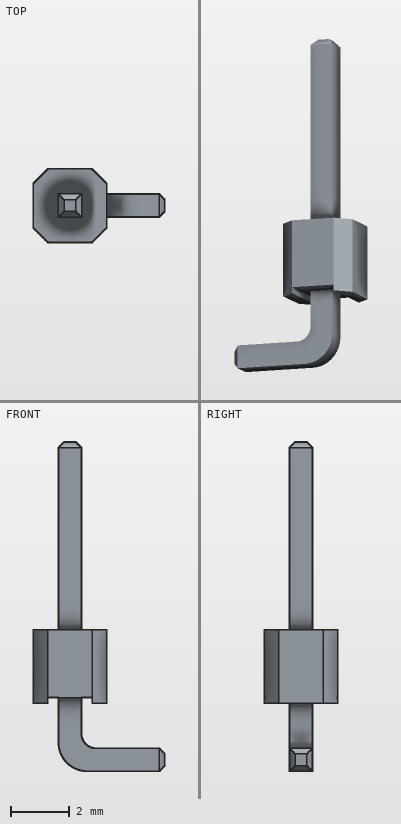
import cadquery as cq

pitch = 2.54
corner_chamfer = 0.51
standoff = 0.2

pin_width = 0.8
pin_height = 11.34
pin_above_housing = 6.46
leg_overhang = 2.0
outer_bend_radius = 1.0
inner_bend_radius = 0.5
tip_chamfer = 0.2

half_pitch = pitch / 2
half_pin = pin_width / 2
groove_width = pitch - 2 * corner_chamfer
pin_top = pitch + pin_above_housing
pin_bottom = pin_top - pin_height
leg_end = half_pitch + leg_overhang


def make_housing():
    """Octagonal block with a groove along Y underneath and a square hole for the pin."""
    block = (
        cq.Workplane("XY")
        .rect(pitch, pitch)
        .extrude(pitch)
        .edges("|Z")
        .chamfer(corner_chamfer)
    )
    groove = cq.Workplane("XY").rect(groove_width, pitch).extrude(standoff)
    pin_hole = cq.Workplane("XY").rect(pin_width, pin_width).extrude(pitch)
    return block.cut(groove).cut(pin_hole)


def make_pin():
    """Square L-shaped pin with a rounded bend and tapered ends."""
    leg_top = pin_bottom + pin_width
    bar = (
        cq.Workplane("XZ")
        .moveTo(-half_pin, pin_top)
        .lineTo(-half_pin, pin_bottom)
        .lineTo(leg_end, pin_bottom)
        .lineTo(leg_end, leg_top)
        .lineTo(half_pin, leg_top)
        .lineTo(half_pin, pin_top)
        .close()
        .extrude(half_pin, both=True)
    )
    outer_corner = cq.selectors.NearestToPointSelector((-half_pin, 0, pin_bottom))
    inner_corner = cq.selectors.NearestToPointSelector((half_pin, 0, leg_top))
    bent = bar.edges(outer_corner).fillet(outer_bend_radius)
    bent = bent.edges(inner_corner).fillet(inner_bend_radius)
    return bent.faces(">Z or >X").chamfer(tip_chamfer)


housing = make_housing()
pin = make_pin()

result = cq.Compound.makeCompound([housing.val(), pin.val()])